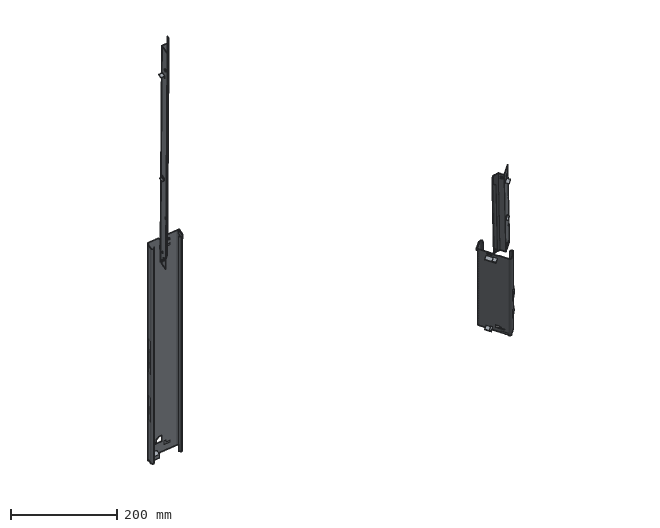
import cadquery as cq
import math

overall_height = 1315.0
sheet = 1.2
overlap_cut = 13.0

wide_left = -17.0
wide_right = 2.0
wide_half_width = 34.0
wide_bottom = 4.0
wide_top = 681.0
wide_bend = 3.3
lip_bend = 4.0
lip_end_x = -2.0
lip_end_y = 26.0

hook_tip_x = -25.0
hook_outer_y = 16.0
upper_hook_z = (645.0, 655.0)
upper_hook_post_y = (-7.0, 1.0)
lower_hook_z = (22.0, 34.0)
lower_hook_post_y = (3.0, 7.0)
hook_base = 5.0
hook_slot = (10.0, 5.0)
hook_slot_center = (9.0, 665.0)

notch_radius = 5.0
notch_y = -4.0
window_y = (-15.0, -3.0)
window_z = (41.0, 55.0)
window_shoulder = (-8.0, 49.0)
window_foot_y = -21.0
window_foot_z = 37.0

raised_height = 1.0
pad_right = -3.0
pad_height = 13.0
corner_tab = 5.0
stop_right = -5.0
stop_y = (-28.0, -13.0)
stop_height = 12.0

bump_center_x = -5.9
bump_width = 8.0
flat_bump_z = (284.0, 317.0, 352.0, 388.0)
peaked_bump_z = (134.0, 174.0, 209.0)

narrow_left = -10.0
narrow_right = 25.0
narrow_bottom = 636.0
shelf_y = 7.0
shelf_end_x = -4.0
wall_x = 4.6
wall_top_y = -1.0
flange_y = -13.8
narrow_tilt = 0.28
return_lip_y = -1.0
return_lip_bend = 3.3
return_lip_z = (697.0, 1269.0)

round_hole_diameter = 7.0
round_hole_x = 17.8
round_hole_z = (660.0, 1253.0)
small_hole_diameter = 4.0
small_hole_x = 12.0
small_hole_z = (648.0, 675.0)
slot_x = 12.0
slot_size = (9.0, 7.0)
upper_slot_z = 1230.0
lower_slot_z = 909.0
slot_tabs = (
    (upper_slot_z + slot_size[1] / 2, 8.0),
    (lower_slot_z - slot_size[1] / 2 - sheet, 4.0),
)
edge_notch_z = 794.0
edge_notch = 4.0
wall_hole_diameter = 5.0
wall_hole_y = -8.0
wall_hole_z = (1277.0, 1291.0)


def box_between(x, y, z):
    """Box spanning the given (low, high) ranges."""
    size = (x[1] - x[0], y[1] - y[0], z[1] - z[0])
    return cq.Workplane("XY").box(*size, centered=False).translate((x[0], y[0], z[0]))


def span(center, size):
    return center - size / 2, center + size / 2


def extrude_along_x(points, x):
    """Prism with a (Y, Z) outline, spanning the X range."""
    return cq.Workplane("YZ", origin=(x[0], 0, 0)).polyline(points).close().extrude(x[1] - x[0])


def wide_channel(z):
    left = wide_left + sheet / 2
    right = wide_right - sheet / 2
    edge = wide_half_width - sheet / 2
    corner_mid = wide_bend * (1 - math.sqrt(0.5))
    lip_mid = lip_bend * (1 - math.sqrt(0.5))
    centreline = (
        cq.Workplane("XY", origin=(0, 0, z[0]))
        .moveTo(lip_end_x, lip_end_y)
        .lineTo(right, edge - lip_bend)
        .threePointArc((right - lip_mid, edge - lip_mid), (right - lip_bend, edge))
        .lineTo(left + wide_bend, edge)
        .threePointArc((left + corner_mid, edge - corner_mid), (left, edge - wide_bend))
        .lineTo(left, wide_bend - edge)
        .threePointArc((left + corner_mid, corner_mid - edge), (left + wide_bend, -edge))
        .lineTo(right - lip_bend, -edge)
        .threePointArc((right - lip_mid, lip_mid - edge), (right, lip_bend - edge))
        .lineTo(lip_end_x, -lip_end_y)
    )
    return centreline.offset2D(sheet / 2).extrude(z[1] - z[0])


def web_hook(z, post_y):
    """L-shaped hook: a low foot with a post at its -Y end."""
    foot_top = z[0] + hook_base
    points = [
        (hook_outer_y, z[0]),
        (hook_outer_y, foot_top),
        (post_y[1], foot_top),
        (post_y[1], z[1]),
        (post_y[0], z[1]),
        (post_y[0], z[0]),
    ]
    return extrude_along_x(points, (hook_tip_x, wide_left + sheet))


def web_openings():
    through = (wide_left - overlap_cut, wide_left + overlap_cut)
    notch = (
        cq.Workplane("YZ", origin=(through[0], notch_y, wide_top))
        .circle(notch_radius)
        .extrude(2 * overlap_cut)
    )
    hook_slot_cut = box_between(through, span(hook_slot_center[0], hook_slot[0]),
                                span(hook_slot_center[1], hook_slot[1]))
    window = extrude_along_x(
        [
            (window_y[1], window_z[0]),
            (window_y[1], window_z[1]),
            (window_shoulder[0], window_z[1]),
            (window_y[0], window_shoulder[1]),
            (window_y[0], window_z[0]),
        ],
        through,
    )
    foot = box_between(through, (window_foot_y, window_y[1]), (window_foot_z, window_z[0]))
    return notch.union(hook_slot_cut).union(window).union(foot)


def flange_bump(heights):
    base = -wide_half_width
    crest = base - raised_height
    points = [(base, heights[0])]
    points += [(crest, z) for z in heights[1:-1]]
    points.append((base, heights[-1]))
    return extrude_along_x(points, span(bump_center_x, bump_width))


def build_wide_rail():
    tab_x = (wide_left, wide_left + corner_tab)
    pad = box_between((wide_left, pad_right),
                      (wide_half_width - sheet, wide_half_width + raised_height),
                      (wide_top - pad_height, wide_top))
    bottom_tab = wide_channel((0, wide_bottom)).intersect(
        box_between(tab_x, (-wide_half_width, corner_tab - wide_half_width), (0, wide_bottom))
    )
    stop = box_between((wide_left, stop_right), stop_y, (wide_bottom, wide_bottom + stop_height))
    return (
        wide_channel((wide_bottom, wide_top))
        .cut(web_openings())
        .union(web_hook(upper_hook_z, upper_hook_post_y))
        .union(web_hook(lower_hook_z, lower_hook_post_y))
        .union(flange_bump(flat_bump_z))
        .union(flange_bump(peaked_bump_z))
        .union(pad)
        .union(bottom_tab)
        .union(stop)
    )


def narrow_section():
    """Folded strip: shelf, slope, upright wall and flange."""
    slope_shift = sheet * math.tan(math.atan2(shelf_y - wall_top_y, wall_x - shelf_end_x) / 2)
    wall_shift = sheet * math.tan(math.atan2(wall_x - shelf_end_x, shelf_y - wall_top_y) / 2)
    points = [
        (narrow_left, shelf_y),
        (shelf_end_x, shelf_y),
        (wall_x, wall_top_y),
        (wall_x, flange_y + sheet),
        (narrow_right, flange_y + sheet),
        (narrow_right, flange_y),
        (wall_x - sheet, flange_y),
        (wall_x - sheet, wall_top_y - wall_shift),
        (shelf_end_x - slope_shift, shelf_y - sheet),
        (narrow_left, shelf_y - sheet),
    ]
    return (
        cq.Workplane("XY", origin=(0, 0, narrow_bottom))
        .polyline(points)
        .close()
        .extrude(overall_height - narrow_bottom)
    )


def flange_openings():
    through = (flange_y - overlap_cut, flange_y + sheet)
    face = cq.Workplane("XZ", origin=(0, through[1], 0))
    depth = through[1] - through[0]
    cutters = (
        face.pushPoints([(round_hole_x, z) for z in round_hole_z])
        .circle(round_hole_diameter / 2)
        .extrude(depth)
    )
    cutters = cutters.union(
        face.pushPoints([(small_hole_x, z) for z in small_hole_z])
        .circle(small_hole_diameter / 2)
        .extrude(depth)
    )
    for z in (upper_slot_z, lower_slot_z):
        cutters = cutters.union(box_between(span(slot_x, slot_size[0]), through, span(z, slot_size[1])))
    notch = box_between((narrow_right - edge_notch, narrow_right), through, span(edge_notch_z, edge_notch))
    return cutters.union(notch)


def wall_holes():
    return (
        cq.Workplane("YZ", origin=(wall_x - sheet, 0, 0))
        .pushPoints([(wall_hole_y, z) for z in wall_hole_z])
        .circle(wall_hole_diameter / 2)
        .extrude(sheet)
    )


def return_lip():
    """Curled lip hanging from the free edge of the shelf."""
    inner_bend = return_lip_bend - sheet
    bend_x = narrow_left + return_lip_bend
    bend_y = shelf_y - return_lip_bend
    diagonal = math.sqrt(0.5)
    return (
        cq.Workplane("XY", origin=(0, 0, return_lip_z[0]))
        .moveTo(narrow_left, return_lip_y)
        .lineTo(narrow_left, bend_y)
        .threePointArc(
            (bend_x - return_lip_bend * diagonal, bend_y + return_lip_bend * diagonal), (bend_x, shelf_y)
        )
        .lineTo(bend_x, shelf_y - sheet)
        .threePointArc(
            (bend_x - inner_bend * diagonal, bend_y + inner_bend * diagonal), (bend_x - inner_bend, bend_y)
        )
        .lineTo(narrow_left + sheet, return_lip_y)
        .close()
        .extrude(return_lip_z[1] - return_lip_z[0])
    )


def build_narrow_rail():
    rail = narrow_section().union(return_lip()).cut(flange_openings()).cut(wall_holes())
    for tab_bottom, reach in slot_tabs:
        rail = rail.union(box_between(span(slot_x, slot_size[0]), (flange_y - reach, flange_y + sheet),
                                      (tab_bottom, tab_bottom + sheet)))
    pivot = (narrow_left, flange_y, overall_height)
    return rail.rotate(pivot, (narrow_right, flange_y, overall_height), -narrow_tilt)


wide_rail = build_wide_rail()
narrow_rail = build_narrow_rail()
result = cq.Compound.makeCompound([wide_rail.val(), narrow_rail.val()])